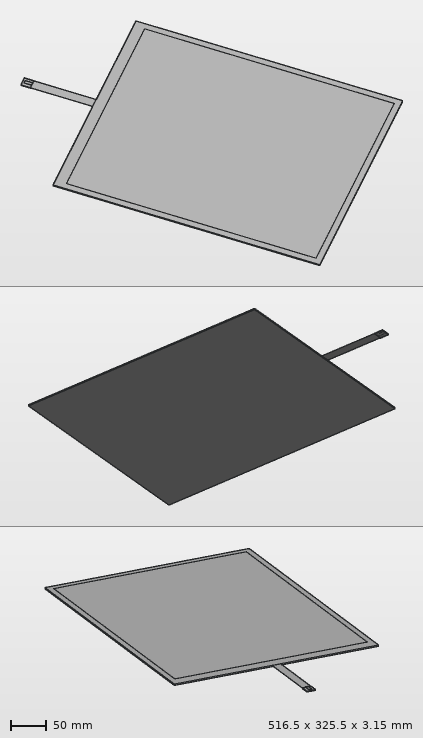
import cadquery as cq

total_length = 516.5
total_height = 3.15

panel_width = 325.5
panel_left = 109.5
panel_thickness = 2.3
active_depth = 0.15
border = 9.5
cable_side_border = 17.0

cable_width = 14.0
cable_thickness = 0.3
cable_overlap = 2.5

connector_length = 14.5
connector_bottom = 1.0
connector_top = 2.5

latch_width = 4.5
latch_start = 3.0


def block(x_start, x_end, width, z_bottom, z_top):
    """Box centred on Y = 0, given by its X and Z limits."""
    size = (x_end - x_start, width, z_top - z_bottom)
    return cq.Workplane("XY").box(*size, centered=(False, True, False)).translate((x_start, 0, z_bottom))


def make_panel():
    panel = block(panel_left, total_length, panel_width, 0, panel_thickness)
    active_area = block(
        panel_left + cable_side_border,
        total_length - border,
        panel_width - 2 * border,
        panel_thickness - active_depth,
        panel_thickness,
    )
    return panel.cut(active_area)


def make_cable():
    cable_top = panel_thickness - active_depth
    return block(0, panel_left + cable_overlap, cable_width, cable_top - cable_thickness, cable_top)


def make_connector():
    body = block(0, connector_length, cable_width, connector_bottom, connector_top)
    latch = block(latch_start, connector_length, latch_width, connector_top, total_height)
    return body.union(latch)


result = make_panel().union(make_cable()).union(make_connector())